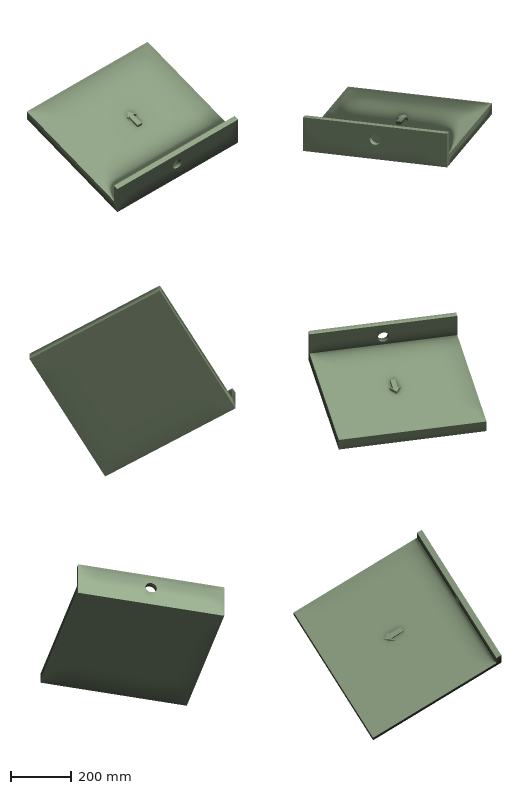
import cadquery as cq

side = 500.0
base_thickness = 40.0

total_height = 120.0
wall_thickness = 19.0

hole_diameter = 38.0
hole_height = 70.0

arrow_height = 10.0
arrow_center_y = 11.5
arrow_tip_x = -43.5
arrow_tail_x = 24.5
notch_x = -23.5
upper_barb_x = -17.5
lower_barb_x = -15.5
head_half_width = 19.0
shaft_half_width = 8.5


def make_bracket():
    """L-shaped profile extruded along Y."""
    half = side / 2
    wall_inner_x = half - wall_thickness
    return (
        cq.Workplane("XZ")
        .moveTo(-half, 0)
        .lineTo(half, 0)
        .lineTo(half, total_height)
        .lineTo(wall_inner_x, total_height)
        .lineTo(wall_inner_x, base_thickness)
        .lineTo(-half, base_thickness)
        .close()
        .extrude(half, both=True)
    )


def make_wall_hole():
    """Cylinder along X that passes through the wall only."""
    return (
        cq.Workplane("YZ", origin=(side / 2 - wall_thickness, 0, hole_height))
        .circle(hole_diameter / 2)
        .extrude(wall_thickness)
    )


def make_arrow():
    """Arrow with swept-back barbs, standing on the plate."""
    outline = [
        (arrow_tip_x, 0),
        (lower_barb_x, -head_half_width),
        (notch_x, -shaft_half_width),
        (arrow_tail_x, -shaft_half_width),
        (arrow_tail_x, shaft_half_width),
        (notch_x, shaft_half_width),
        (upper_barb_x, head_half_width),
    ]
    return (
        cq.Workplane("XY", origin=(0, arrow_center_y, base_thickness))
        .polyline(outline)
        .close()
        .extrude(arrow_height)
    )


result = make_bracket().cut(make_wall_hole()).union(make_arrow())